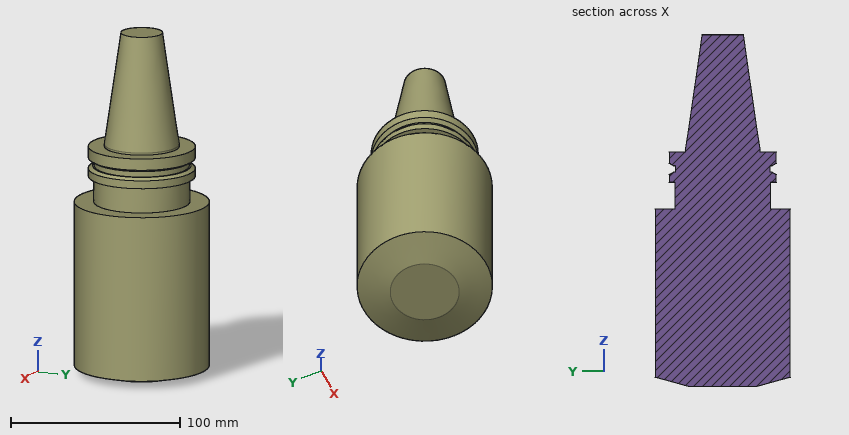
import cadquery as cq

total_height = 208.0

body_diameter = 80.0
tip_diameter = 40.8
tip_height = 5.5
body_top = 105.0

neck_diameter = 57.0

flange_diameter = 63.5
flange_bottom = 120.6
flange_top = 138.7
groove_diameter = 56.4
groove_bottom = 126.8
groove_top = 130.4
chamfer_height = 1.5
ledge_diameter = 58.2

shank_diameter = 44.5
shank_tip_diameter = 24.7
collar_height = 1.2

body_radius = body_diameter / 2
neck_radius = neck_diameter / 2
flange_radius = flange_diameter / 2
groove_radius = groove_diameter / 2
ledge_radius = ledge_diameter / 2
shank_radius = shank_diameter / 2

profile = [
    (0, 0),
    (tip_diameter / 2, 0),
    (body_radius, tip_height),
    (body_radius, body_top),
    (neck_radius, body_top),
    (neck_radius, flange_bottom),
    (flange_radius, flange_bottom),
    (flange_radius, groove_bottom - chamfer_height),
    (ledge_radius, groove_bottom),
    (groove_radius, groove_bottom),
    (groove_radius, groove_top),
    (ledge_radius, groove_top),
    (flange_radius, groove_top + chamfer_height),
    (flange_radius, flange_top),
    (shank_radius, flange_top),
    (shank_radius, flange_top + collar_height),
    (shank_tip_diameter / 2, total_height),
    (0, total_height),
]

result = cq.Workplane("XZ").polyline(profile).close().revolve(360, (0, 0), (0, 1))